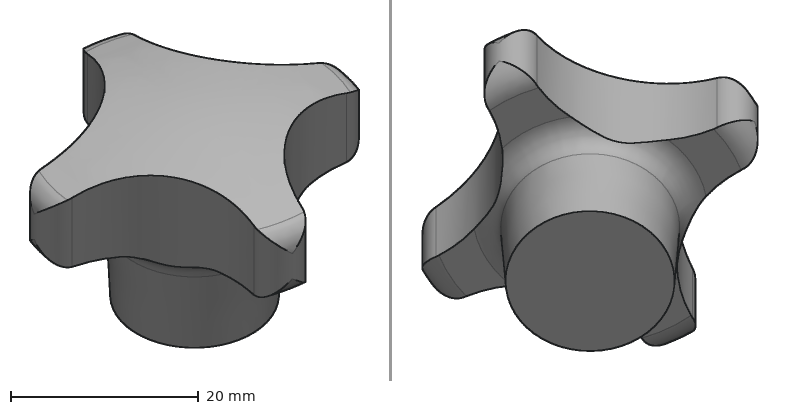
import cadquery as cq
import math

knob_radius = 20.0
total_height = 25.0
head_bottom = 13.0

dome_radius = 61.0
rim_round = 3.0
lobe_tip_radius = 3.0
scallop_offset = 17.5
prism_clearance = 2.0

hub_bottom_radius = 9.0
hub_draft = math.radians(3)
hub_round = 3.0


def revolved_body():
    """Solid of revolution carrying the hub, underside, rim and dome."""
    round_center_z = head_bottom - hub_round
    hub_end_z = round_center_z + hub_round * math.sin(hub_draft)
    hub_end_radius = hub_bottom_radius + hub_end_z * math.tan(hub_draft)
    round_center_r = hub_end_radius + hub_round * math.cos(hub_draft)
    hub_mid_angle = (math.pi + hub_draft) / 4
    hub_mid = (
        round_center_r - hub_round * math.cos(hub_mid_angle),
        round_center_z + hub_round * math.sin(hub_mid_angle),
    )

    rim_center_r = knob_radius - rim_round
    dome_center_z = total_height - dome_radius
    rim_tilt = math.asin(rim_center_r / (dome_radius - rim_round))
    rim_center_z = dome_center_z + (dome_radius - rim_round) * math.cos(rim_tilt)
    rim_mid_tilt = (math.pi / 2 + rim_tilt) / 2

    def on_rim(tilt):
        return (
            rim_center_r + rim_round * math.sin(tilt),
            rim_center_z + rim_round * math.cos(tilt),
        )

    dome_mid = (
        dome_radius * math.sin(rim_tilt / 2),
        dome_center_z + dome_radius * math.cos(rim_tilt / 2),
    )
    lower_rim_mid = (
        rim_center_r + rim_round * math.sin(math.pi / 4),
        head_bottom + rim_round * (1 - math.cos(math.pi / 4)),
    )

    return (
        cq.Workplane("XZ")
        .moveTo(0, 0)
        .lineTo(hub_bottom_radius, 0)
        .lineTo(hub_end_radius, hub_end_z)
        .threePointArc(hub_mid, (round_center_r, head_bottom))
        .lineTo(rim_center_r, head_bottom)
        .threePointArc(lower_rim_mid, (knob_radius, head_bottom + rim_round))
        .lineTo(knob_radius, rim_center_z)
        .threePointArc(on_rim(rim_mid_tilt), on_rim(rim_tilt))
        .threePointArc(dome_mid, (0, total_height))
        .close()
        .revolve(360, (0, 0), (0, 1))
    )


def lobed_prism():
    """Four-lobed star: round tips joined tangentially by concave scallops."""
    tip_center = knob_radius - lobe_tip_radius
    center_gap = math.hypot(scallop_offset - tip_center, scallop_offset)
    scallop_radius = center_gap - lobe_tip_radius
    join_x = tip_center + lobe_tip_radius * (scallop_offset - tip_center) / center_gap
    join_y = lobe_tip_radius * scallop_offset / center_gap
    scallop_mid = scallop_offset - scallop_radius / math.sqrt(2)

    def turned(x, y, quarter):
        for _ in range(quarter):
            x, y = -y, x
        return (x, y)

    outline = cq.Workplane("XY", origin=(0, 0, -prism_clearance)).moveTo(join_x, -join_y)
    for quarter in range(4):
        outline = outline.threePointArc(turned(knob_radius, 0, quarter), turned(join_x, join_y, quarter))
        outline = outline.threePointArc(
            turned(scallop_mid, scallop_mid, quarter), turned(join_y, join_x, quarter)
        )
    return outline.close().extrude(total_height + 2 * prism_clearance)


result = revolved_body().intersect(lobed_prism())